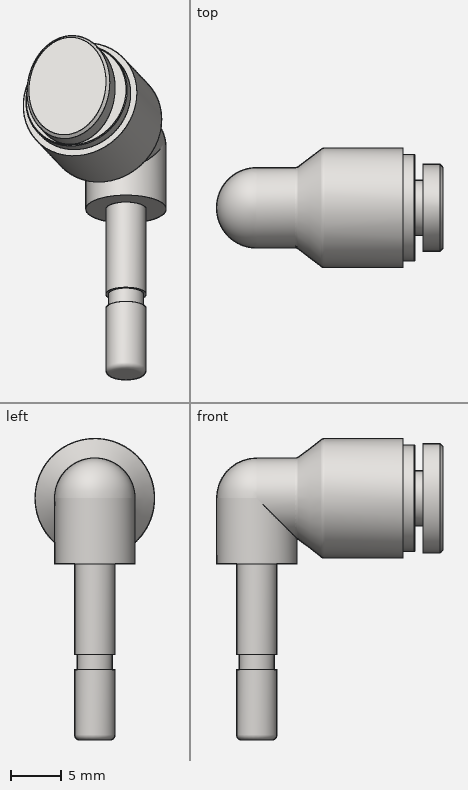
import cadquery as cq
import math


total_height = 29.95
total_length = 22.5

elbow_dia = 8.0
elbow_radius = elbow_dia / 2
leg_bottom = -6.5
cone_start = elbow_radius
cone_end = 6.55
blend_radius = 0.5

socket_dia = 11.9
socket_end = 14.53
collar_dia = 10.6
collar_end = 15.72
collar_chamfer = 0.1

stem_dia = 4.0
stem_bottom = socket_dia / 2 - total_height
stem_end_fillet = 0.5
groove_dia = 3.5
groove_top = -15.5
groove_width = 1.5

button_neck_dia = 5.5
button_height = 10.87
button_width = 8.65
button_start = 16.5
button_end = total_length - elbow_radius
button_chamfer = 0.3


def make_elbow_leg():
    """Vertical leg, cut at 45 degrees so it never rises past the socket branch."""
    reach = socket_dia
    leg = cq.Workplane("XY").circle(elbow_radius).extrude(leg_bottom)
    miter = (
        cq.Workplane("XZ")
        .polyline([(-reach, 0), (0, 0), (reach, -reach), (-reach, -reach)])
        .close()
        .extrude(reach / 2, both=True)
    )
    return leg.intersect(miter)


def make_socket_branch():
    """Neck, cone, socket barrel and end collar, turned about the X axis."""
    socket_radius = socket_dia / 2
    collar_radius = collar_dia / 2
    cone_angle = math.atan2(socket_radius - elbow_radius, cone_end - cone_start)

    tangent_length = blend_radius * math.tan(cone_angle / 2)
    along = tangent_length * math.cos(cone_angle)
    outward = tangent_length * math.sin(cone_angle)

    neck_end = (cone_start - tangent_length, elbow_radius)
    barrel_start = (cone_end + tangent_length, socket_radius)
    mid_run = blend_radius * math.sin(cone_angle / 2)
    mid_rise = blend_radius * (1 - math.cos(cone_angle / 2))

    return (
        cq.Workplane("XY")
        .moveTo(0, 0)
        .lineTo(0, elbow_radius)
        .lineTo(*neck_end)
        .threePointArc(
            (neck_end[0] + mid_run, elbow_radius + mid_rise),
            (cone_start + along, elbow_radius + outward),
        )
        .lineTo(cone_end - along, socket_radius - outward)
        .threePointArc((barrel_start[0] - mid_run, socket_radius - mid_rise), barrel_start)
        .lineTo(socket_end, socket_radius)
        .lineTo(socket_end, collar_radius)
        .lineTo(collar_end - collar_chamfer, collar_radius)
        .lineTo(collar_end, collar_radius - collar_chamfer)
        .lineTo(collar_end, 0)
        .close()
        .revolve(360, (0, 0, 0), (1, 0, 0))
    )


def make_housing():
    """Elbow housing: leg and socket branch meeting at a spherical corner."""
    corner = cq.Workplane("XY").sphere(elbow_radius)
    return make_socket_branch().union(make_elbow_leg()).union(corner)


def make_stem():
    """Round stem below the leg, with a groove and a rounded free end."""
    stem = (
        cq.Workplane("XY", origin=(0, 0, leg_bottom))
        .circle(stem_dia / 2)
        .extrude(stem_bottom - leg_bottom)
        .faces("<Z")
        .edges()
        .fillet(stem_end_fillet)
    )
    groove = (
        cq.Workplane("XY", origin=(0, 0, groove_top))
        .circle(stem_dia / 2)
        .circle(groove_dia / 2)
        .extrude(-groove_width)
    )
    return stem.cut(groove)


def make_release_button():
    """Oval release button on a round neck that rests against the collar."""
    neck = (
        cq.Workplane("YZ", origin=(collar_end, 0, 0))
        .circle(button_neck_dia / 2)
        .extrude(button_start - collar_end)
    )
    head = (
        cq.Workplane("YZ", origin=(button_start, 0, 0))
        .ellipse(button_width / 2, button_height / 2)
        .extrude(button_end - button_start)
        .faces(">X")
        .edges()
        .chamfer(button_chamfer)
    )
    return neck.union(head)


housing = make_housing().solids()
stem = make_stem().solids()
release_button = make_release_button().solids()

result = cq.Compound.makeCompound([housing.val(), stem.val(), release_button.val()])